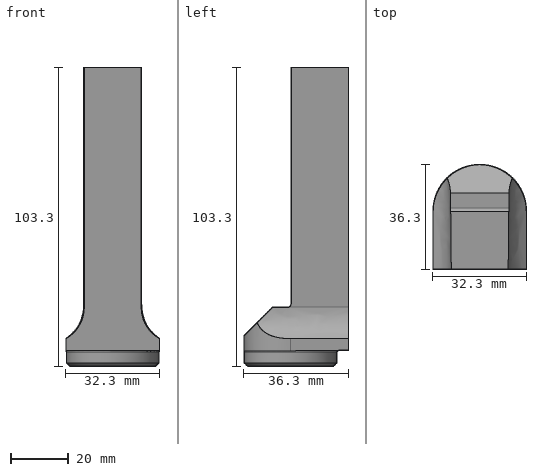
import cadquery as cq
import math

height = 103.3
foot_width = 32.3
depth = 36.3
foot_radius = foot_width / 2
round_center_y = depth - foot_radius

shank_depth = 19.9
shank_front_width = 19.6
shank_back_width = 20.0
root_fillet = 1.2

foot_bottom_z = 5.6
flank_bottom_z = 9.6
foot_top_z = 20.5
back_bevel = 9.9

pad_diameter = 32.0
pad_chamfer = 1.2
pad_fillet = 0.7
pad_radius = pad_diameter / 2


def front_profile(y, shank_width):
    """Outline of shank, concave flanks and foot in a plane of constant y."""
    half = shank_width / 2
    run = foot_radius - half
    rise = foot_top_z - flank_bottom_z
    arc_radius = (run**2 + rise**2) / (2 * run)
    half_angle = math.asin(rise / arc_radius) / 2
    mid_x = half + arc_radius * (1 - math.cos(half_angle))
    mid_z = foot_top_z - arc_radius * math.sin(half_angle)
    return (
        cq.Workplane("XZ", origin=(0, y, 0))
        .moveTo(-foot_radius, foot_bottom_z)
        .lineTo(foot_radius, foot_bottom_z)
        .lineTo(foot_radius, flank_bottom_z)
        .threePointArc((mid_x, mid_z), (half, foot_top_z))
        .lineTo(half, height)
        .lineTo(-half, height)
        .lineTo(-half, foot_top_z)
        .threePointArc((-mid_x, mid_z), (-foot_radius, flank_bottom_z))
        .close()
        .val()
    )


def make_tapered_block():
    """Front profile run through the full depth, widening with the shank taper."""
    widening = (shank_back_width - shank_front_width) / shank_depth
    far_width = shank_front_width + widening * depth
    wires = [front_profile(0, shank_front_width), front_profile(depth, far_width)]
    return cq.Workplane(cq.Solid.makeLoft(wires, True))


def make_footprint():
    """Upright prism: straight sides at the front, half round at the back."""
    return (
        cq.Workplane("XY")
        .moveTo(-foot_radius, 0)
        .lineTo(foot_radius, 0)
        .lineTo(foot_radius, round_center_y)
        .threePointArc((0, depth), (-foot_radius, round_center_y))
        .close()
        .extrude(height)
    )


def make_side_envelope():
    """Side outline: shank, root fillet, flat foot top and bevelled back."""
    return (
        cq.Workplane("YZ", origin=(-foot_radius, 0, 0))
        .lineTo(depth, 0)
        .lineTo(depth, foot_top_z - back_bevel)
        .lineTo(depth - back_bevel, foot_top_z)
        .lineTo(shank_depth + root_fillet, foot_top_z)
        .radiusArc((shank_depth, foot_top_z + root_fillet), root_fillet)
        .lineTo(shank_depth, height)
        .lineTo(0, height)
        .close()
        .extrude(foot_width)
    )


def make_pad():
    """Disc with a chamfered lower edge and a concave fillet up to the foot."""
    return (
        cq.Workplane("XZ", origin=(0, round_center_y, 0))
        .lineTo(pad_radius - pad_chamfer, 0)
        .lineTo(pad_radius, pad_chamfer)
        .lineTo(pad_radius, foot_bottom_z - pad_fillet)
        .radiusArc((pad_radius + pad_fillet, foot_bottom_z), pad_fillet)
        .lineTo(0, foot_bottom_z)
        .close()
        .revolve(360, (0, 0, 0), (0, 1, 0))
    )


footprint = make_footprint()
body = make_tapered_block().intersect(footprint).intersect(make_side_envelope())
result = body.union(make_pad().intersect(footprint))